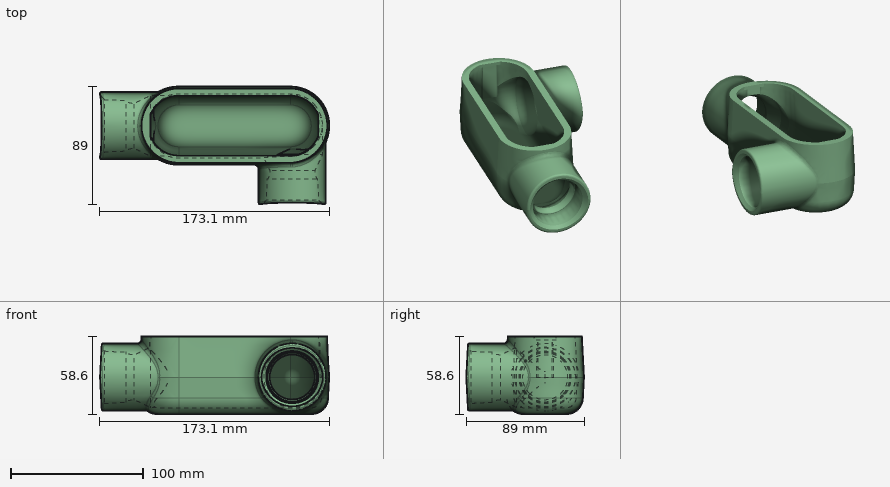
import cadquery as cq
import math

DRAFT_ANGLE = 3.0
END_SPACING = 84.1
END_RADIUS = 29.6
TOP_HEIGHT = 30.6
BASE_DEPTH = 28.0
WALL = 5.4
FLOOR = 5.0
BASE_FILLET = 13.0

LIP_DISTANCE = 21.1
LIP_HEIGHT = 2.6
PAD_DISTANCE = 21.6
PAD_FACE_WIDTH = 10.4
PAD_WIDTH = 13.0

HUB_RADIUS = 50.9 / 2
HUB_REACH = 59.4
HUB_EDGE_FILLET = 1.5
HUB_ROOT_FILLET = 3.0
SIDE_HUB_OFFSET = 1.5

MOUTH_RADIUS = 23.2
SOCKET_RADIUS = 19.7
SOCKET_END_RADIUS = 19.0
SOCKET_DEPTH = 19.4
THROAT_ENTRY_RADIUS = 18.5
THROAT_RADIUS = 17.0
THROAT_LENGTH = 6.2
CORE_RADIUS = 22.8
CORE_REACH = 21.5

END_X = END_SPACING / 2
END_HUB = (180, -END_X)
SIDE_HUB = (-90, END_X + SIDE_HUB_OFFSET)
ROOT_ZONE = 0.7 * HUB_REACH
TOLERANCE = 0.02
CAVITY_RADIUS = END_RADIUS - WALL
CAVITY_DEPTH = BASE_DEPTH - FLOOR


def drafted_stadium(radius, top_height, depth, base_fillet):
    """Stadium solid, widest on the parting plane, with a rounded bottom edge."""
    length = END_SPACING + 2 * radius
    upper = cq.Workplane("XY").slot2D(length, 2 * radius).extrude(top_height, taper=DRAFT_ANGLE)
    lower = cq.Workplane("XY").slot2D(length, 2 * radius).extrude(-depth, taper=DRAFT_ANGLE)
    return upper.union(lower.faces("<Z").edges().fillet(base_fillet))


def place(shape, hub):
    """Move a shape built along +X onto the axis of the given hub."""
    angle, start_x = hub
    return shape.rotate((0, 0, 0), (0, 0, 1), angle).translate((start_x, 0, 0))


def is_root_edge(edge, hub):
    """True for an edge on the hub's cylinder, close to the box and not along the hub."""
    angle, start_x = hub
    direction = cq.Vector(math.cos(math.radians(angle)), math.sin(math.radians(angle)), 0)
    start = cq.Vector(start_x, 0, 0)

    def on_hub_near_box(position):
        offset = edge.positionAt(position) - start
        along = offset.dot(direction)
        distance = (offset - direction * along).Length
        return abs(distance - HUB_RADIUS) < TOLERANCE and 0 < along < ROOT_ZONE

    return edge.geomType() != "LINE" and all(on_hub_near_box(p) for p in (0, 0.3, 0.7, 1))


def hub_solid():
    """Solid hub along +X, its end face leaning back above and below the parting plane."""
    half_height = 1.1 * HUB_RADIUS
    lean = half_height * math.tan(math.radians(DRAFT_ANGLE))
    profile = [
        (0, -half_height),
        (HUB_REACH - lean, -half_height),
        (HUB_REACH, 0),
        (HUB_REACH - lean, half_height),
        (0, half_height),
    ]
    envelope = cq.Workplane("XZ").polyline(profile).close().extrude(half_height, both=True)
    cylinder = cq.Workplane("YZ").circle(HUB_RADIUS).extrude(HUB_REACH)
    hub = cylinder.rotate((0, 0, 0), (1, 0, 0), 90).intersect(envelope)
    return hub.edges("%ELLIPSE").fillet(HUB_EDGE_FILLET)


def bore_tool():
    """Countersink, tapered socket, rounded throat and flared clearance, along +X."""
    shoulder = HUB_REACH - SOCKET_DEPTH
    throat_end = shoulder - THROAT_LENGTH
    entry_rise = THROAT_ENTRY_RADIUS - THROAT_RADIUS
    entry_arc = (THROAT_LENGTH**2 + entry_rise**2) / (2 * entry_rise)
    countersink_foot = HUB_REACH - (MOUTH_RADIUS - SOCKET_RADIUS)
    profile = (
        cq.Workplane("XY")
        .lineTo(0, CORE_RADIUS)
        .lineTo(CORE_REACH, CORE_RADIUS)
        .lineTo(throat_end, THROAT_RADIUS)
        .radiusArc((shoulder, THROAT_ENTRY_RADIUS), -entry_arc)
        .lineTo(shoulder, SOCKET_END_RADIUS)
        .lineTo(countersink_foot, SOCKET_RADIUS)
        .lineTo(HUB_REACH, MOUTH_RADIUS)
        .lineTo(HUB_REACH, 0)
        .close()
    )
    return profile.revolve(360, (0, 0, 0), (1, 0, 0))


def end_flat():
    """Lip at the rim with a narrower, bevelled pad below it, facing the cavity from +X."""
    outer = END_RADIUS
    lip_depth = outer - LIP_DISTANCE
    lip = (
        cq.Workplane("XY", origin=(LIP_DISTANCE + lip_depth / 2, 0, TOP_HEIGHT - LIP_HEIGHT))
        .rect(lip_depth, 2 * outer)
        .extrude(LIP_HEIGHT)
    )
    bevel = (PAD_WIDTH - PAD_FACE_WIDTH) / 2
    pad = (
        cq.Workplane("XY")
        .polyline([
            (outer, -PAD_WIDTH / 2),
            (PAD_DISTANCE + bevel, -PAD_WIDTH / 2),
            (PAD_DISTANCE, -PAD_FACE_WIDTH / 2),
            (PAD_DISTANCE, PAD_FACE_WIDTH / 2),
            (PAD_DISTANCE + bevel, PAD_WIDTH / 2),
            (outer, PAD_WIDTH / 2),
        ])
        .close()
        .extrude(TOP_HEIGHT)
    )
    return lip.union(pad).translate((END_X, 0, 0))


body = drafted_stadium(END_RADIUS, TOP_HEIGHT, BASE_DEPTH, BASE_FILLET)
for hub in (END_HUB, SIDE_HUB):
    body = body.union(place(hub_solid(), hub))
    roots = [edge for edge in body.edges().vals() if is_root_edge(edge, hub)]
    body = body.newObject(roots).fillet(HUB_ROOT_FILLET)

cavity = drafted_stadium(CAVITY_RADIUS, TOP_HEIGHT, CAVITY_DEPTH, BASE_FILLET - WALL)
body = body.cut(cavity).cut(place(bore_tool(), SIDE_HUB))
flat = end_flat().intersect(cavity)
body = body.union(flat).union(flat.mirror("YZ"))
result = body.cut(place(bore_tool(), END_HUB))